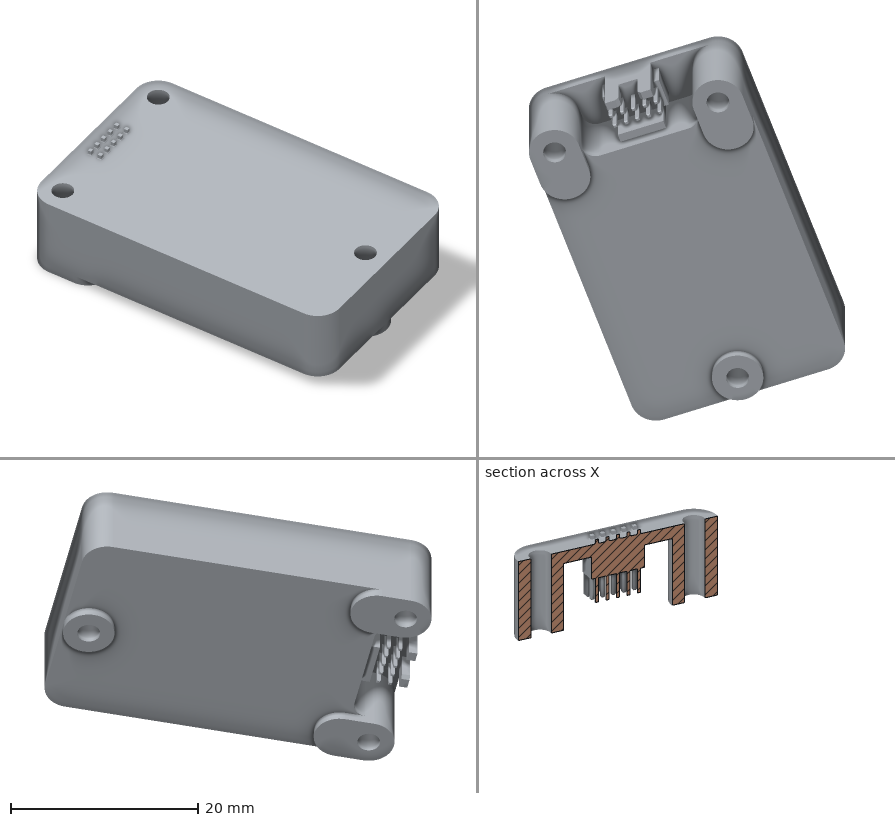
import cadquery as cq

LENGTH = 38.1
WIDTH = 23.98
TOP_Z = 9.45
CORNER_RADIUS = 5.49 / 2
FOOT_HEIGHT = 1.0
TOP_PLATE_THICKNESS = 1.5
PLATE_BOTTOM_Z = TOP_Z - TOP_PLATE_THICKNESS

HOLE_DIAMETER = 2.44
FOOT_X = CORNER_RADIUS
FOOT_Y = WIDTH / 2 - CORNER_RADIUS
LONG_FOOT_END_X = 5.95
ROUND_FOOT_X = LENGTH - CORNER_RADIUS

RECESS_DEPTH = 5.25
RECESS_WIDTH = 2 * (FOOT_Y - CORNER_RADIUS)
RECESS_FILLET = 1.5

HEADER_DEPTH = 5.0
HEADER_WALL = 0.9
HEADER_CENTRE_X = HEADER_DEPTH / 2
HEADER_BASE_WIDTH = 6.4
HEADER_BASE_Z = 5.3
HEADER_WALL_WIDTH = 5.14
HEADER_WALL_Z = 2.15
KEY_SLOT_WIDTH = 2.16
KEY_CHAMFER_WIDTH = 0.35
KEY_CHAMFER_HEIGHT = 0.4

PIN_PITCH = 1.27
PIN_ROWS = 2
PINS_PER_ROW = 5
PIN_SIZE = 0.43
PIN_TOP_Z = 9.98
PIN_BOTTOM_Z = 2.3
PIN_TIP_HEIGHT = 0.15
PIN_TIP_SIZE = 0.25
COLLAR_SIZE = 0.64
COLLAR_HEIGHT = 0.1


def box(x_min, x_max, width, z_min, z_max):
    """Box centred on y = 0."""
    solid = cq.Workplane("XY").box(x_max - x_min, width, z_max - z_min, centered=(False, True, False))
    return solid.translate((x_min, 0, z_min))


def block():
    outline = box(0, LENGTH, WIDTH, 0, TOP_Z)
    return outline.edges("|Z").fillet(CORNER_RADIUS)


def connector_recess():
    """Pocket with rounded rear corners, widened beside the front halves of the round foot ends."""
    pocket = box(0, RECESS_DEPTH, RECESS_WIDTH, 0, PLATE_BOTTOM_Z)
    pocket = pocket.edges("|Z and >X").fillet(RECESS_FILLET)
    entrance = box(0, FOOT_X, 2 * FOOT_Y, 0, PLATE_BOTTOM_Z)
    return pocket.union(entrance)


def feet():
    long_foot_length = LONG_FOOT_END_X - FOOT_X + 2 * CORNER_RADIUS
    long_foot_centre_x = (FOOT_X + LONG_FOOT_END_X) / 2
    long_feet = (
        cq.Workplane("XY")
        .pushPoints([(long_foot_centre_x, -FOOT_Y), (long_foot_centre_x, FOOT_Y)])
        .slot2D(long_foot_length, 2 * CORNER_RADIUS)
        .extrude(PLATE_BOTTOM_Z)
    )
    round_foot = cq.Workplane("XY").center(ROUND_FOOT_X, 0).circle(CORNER_RADIUS).extrude(PLATE_BOTTOM_Z)
    return long_feet.union(round_foot)


def housing():
    """Rounded block hollowed from below, with the feet left standing; one half is mirrored about y = 0."""
    underside = box(FOOT_X, LENGTH, WIDTH, 0, FOOT_HEIGHT)
    removed = underside.union(connector_recess()).cut(feet())
    whole = block().cut(removed).cut(mounting_holes())
    other_half = box(0, LENGTH, WIDTH, 0, TOP_Z).translate((0, WIDTH / 2, 0))
    half = whole.cut(other_half)
    return half.union(half.mirror("XZ"))


def mounting_holes():
    centres = [(FOOT_X, -FOOT_Y), (FOOT_X, FOOT_Y), (ROUND_FOOT_X, 0)]
    return cq.Workplane("XY").pushPoints(centres).circle(HOLE_DIAMETER / 2).extrude(TOP_Z)


def key_slot():
    """Slot through the front wall, flared at its open lower end."""
    half = KEY_SLOT_WIDTH / 2
    flared_half = half + KEY_CHAMFER_WIDTH
    chamfer_top_z = HEADER_WALL_Z + KEY_CHAMFER_HEIGHT
    outline = [
        (-flared_half, HEADER_WALL_Z),
        (flared_half, HEADER_WALL_Z),
        (half, chamfer_top_z),
        (half, HEADER_BASE_Z),
        (-half, HEADER_BASE_Z),
        (-half, chamfer_top_z),
    ]
    return cq.Workplane("YZ").polyline(outline).close().extrude(HEADER_WALL)


def header():
    rear_wall_x = HEADER_DEPTH - HEADER_WALL
    base = box(HEADER_WALL, rear_wall_x, HEADER_BASE_WIDTH, HEADER_BASE_Z, TOP_Z)
    front_wall = box(0, HEADER_WALL, HEADER_WALL_WIDTH, HEADER_WALL_Z, TOP_Z).cut(key_slot())
    rear_wall = box(rear_wall_x, HEADER_DEPTH, HEADER_WALL_WIDTH, HEADER_WALL_Z, TOP_Z)
    return base.union(front_wall).union(rear_wall)


def pin():
    """Square pin with a tapered lower tip and a sloped collar where it leaves the top plate."""
    shank_bottom_z = PIN_BOTTOM_Z + PIN_TIP_HEIGHT
    shank = box(-PIN_SIZE / 2, PIN_SIZE / 2, PIN_SIZE, shank_bottom_z, PIN_TOP_Z)
    tip = (
        cq.Workplane("XY", origin=(0, 0, PIN_BOTTOM_Z))
        .rect(PIN_TIP_SIZE, PIN_TIP_SIZE)
        .workplane(offset=PIN_TIP_HEIGHT)
        .rect(PIN_SIZE, PIN_SIZE)
        .loft()
    )
    collar = (
        cq.Workplane("XY", origin=(0, 0, TOP_Z))
        .rect(COLLAR_SIZE, COLLAR_SIZE)
        .workplane(offset=COLLAR_HEIGHT)
        .rect(PIN_SIZE, PIN_SIZE)
        .loft()
    )
    return shank.union(tip).union(collar)


def pins():
    one_pin = pin()
    row_start_x = HEADER_CENTRE_X - PIN_PITCH * (PIN_ROWS - 1) / 2
    row_start_y = -PIN_PITCH * (PINS_PER_ROW - 1) / 2
    group = cq.Workplane("XY")
    for row in range(PIN_ROWS):
        for place in range(PINS_PER_ROW):
            position = (row_start_x + row * PIN_PITCH, row_start_y + place * PIN_PITCH, 0)
            group = group.union(one_pin.translate(position))
    return group


result = housing().union(header()).union(pins()).clean()